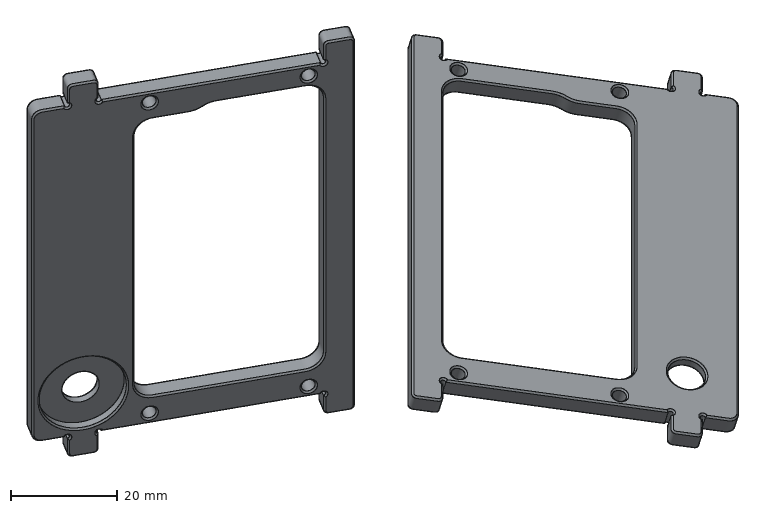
import cadquery as cq
import math

thickness = 4.0
width = 63.0
overall_height = 90.0
plate_height = 80.0
plate_corner_radius = 2.0
edge_chamfer = 0.4

tab_width = 6.0
tab_corner_radius = 1.0
outer_tab_y = (width - tab_width) / 2
inner_tab_y = -21.5
relief_radius = 0.495
relief_offset = 0.1

window_left_y = width / 2 - tab_width
window_right_y = -11.5
window_top_z = 35.0
window_low_top_z = 33.5
window_bottom_z = -33.5
window_corner_radius = 3.6
step_start_y = 4.6
step_radius = 5.4

small_hole_diameter = 2.7
small_hole_ys = (22.5, -8.55)
small_hole_z = 37.5
large_hole_diameter = 7.3
large_hole_z = -30.0
counterbore_diameter = 17.0
counterbore_depth = thickness / 2


def block(y_min, y_max, z_min, z_max):
    """Full-thickness block centred on X = 0."""
    return (
        cq.Workplane("XY")
        .box(thickness, y_max - y_min, z_max - z_min)
        .translate((0, (y_min + y_max) / 2, (z_min + z_max) / 2))
    )


def cylinders(points, radius):
    """Full-thickness cylinders along X at the given (Y, Z) points."""
    return cq.Workplane("YZ").pushPoints(points).circle(radius).extrude(thickness / 2, both=True)


def make_tab(center_y):
    """Bar running the overall height, so that both its ends stand out as tabs."""
    half_height = overall_height / 2
    bar = block(center_y - tab_width / 2, center_y + tab_width / 2, -half_height, half_height)
    return bar.edges("|X").fillet(tab_corner_radius)


def make_body():
    """Plate with rounded -Y corners, four tabs and relief cuts at the tab roots."""
    half_plate = plate_height / 2
    plate = block(-width / 2, outer_tab_y, -half_plate, half_plate)
    plate = plate.edges("|X and <Y").fillet(plate_corner_radius)
    body = plate.union(make_tab(outer_tab_y)).union(make_tab(inner_tab_y))
    relief_reach = tab_width / 2 + relief_offset
    relief_ys = (outer_tab_y - relief_reach, inner_tab_y + relief_reach, inner_tab_y - relief_reach)
    relief_z = half_plate + relief_offset
    reliefs = [(y, side * relief_z) for y in relief_ys for side in (1, -1)]
    return body.cut(cylinders(reliefs, relief_radius))


def make_window():
    """Window cutter; its upper edge steps down through two equal tangent arcs."""
    step_drop = window_top_z - window_low_top_z
    arc_angle = math.acos(1 - step_drop / (2 * step_radius))
    arc_run = step_radius * math.sin(arc_angle)
    middle = (step_start_y - arc_run, window_top_z - step_drop / 2)
    step_end = (step_start_y - 2 * arc_run, window_low_top_z)
    outline = (
        cq.Workplane("YZ")
        .moveTo(window_left_y, window_bottom_z)
        .lineTo(window_left_y, window_top_z)
        .lineTo(step_start_y, window_top_z)
        .tangentArcPoint(middle, relative=False)
        .tangentArcPoint(step_end, relative=False)
        .lineTo(window_right_y, window_low_top_z)
        .lineTo(window_right_y, window_bottom_z)
        .close()
    )
    window = outline.extrude(thickness / 2, both=True)
    side_edges = window.edges("|X and (<Y or >Y)")
    return side_edges.fillet(window_corner_radius)


def make_holes():
    """Four small through holes and a large one, counterbored from the +X face."""
    small_points = [(y, side * small_hole_z) for y in small_hole_ys for side in (1, -1)]
    small_holes = cylinders(small_points, small_hole_diameter / 2)
    large_hole = cylinders([(inner_tab_y, large_hole_z)], large_hole_diameter / 2)
    counterbore = (
        cq.Workplane("YZ", origin=(thickness / 2 - counterbore_depth, 0, 0))
        .center(inner_tab_y, large_hole_z)
        .circle(counterbore_diameter / 2)
        .extrude(counterbore_depth)
    )
    return small_holes.union(large_hole).union(counterbore)


body = make_body().cut(make_window()).cut(make_holes())

result = body.faces("<X or >X").edges().chamfer(edge_chamfer)